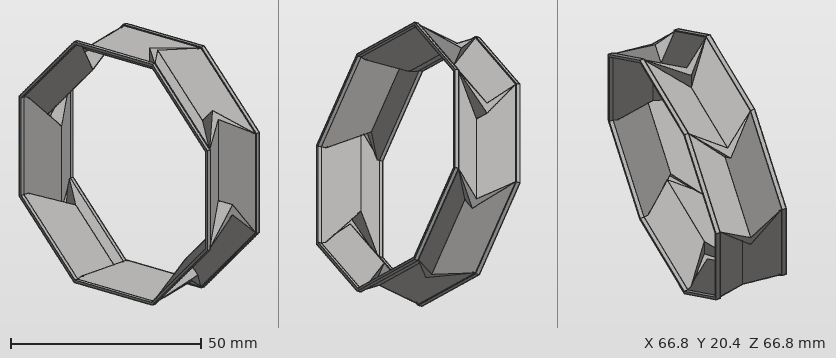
import cadquery as cq
import math

SIDES = 8
ACROSS_FLATS = 66.8
BAND_WIDTH = 20.4
RIM_WIDTH = 1.2
RIM_STEP = 0.3
WALL = 0.435

GROOVE_DEPTH = 5.1
GROOVE_SLANT = 10.0
OVERSHOOT = 0.7

SIDE_ANGLE = 360.0 / SIDES
BODY_APOTHEM = ACROSS_FLATS / 2 - RIM_STEP
CAVITY_APOTHEM = BODY_APOTHEM - WALL
CORNER_X = BODY_APOTHEM * math.tan(math.radians(SIDE_ANGLE / 2))
GROOVE_HALF_WIDTH = BAND_WIDTH / 2 - RIM_WIDTH

VALLEY_OFFSET = WALL * math.hypot(GROOVE_HALF_WIDTH, GROOVE_DEPTH) / GROOVE_HALF_WIDTH
END_OFFSET = WALL * math.hypot(GROOVE_HALF_WIDTH, GROOVE_SLANT) / GROOVE_HALF_WIDTH


def octagon_prism(apothem, width, y_center=0.0):
    """Octagonal prism along Y with flats facing X and Z."""
    circumradius = apothem / math.cos(math.radians(SIDE_ANGLE / 2))
    return (
        cq.Workplane("XZ", origin=(0, y_center + width / 2, 0))
        .transformed(rotate=(0, 0, SIDE_ANGLE / 2))
        .polygon(SIDES, 2 * circumradius)
        .extrude(width)
    )


def chevron_wedge(depth, end_offset):
    """V wedge under the +Z side, with both ends slanted to the same chevron."""
    half_width = GROOVE_HALF_WIDTH * depth / GROOVE_DEPTH
    slant = GROOVE_SLANT * depth / GROOVE_DEPTH
    right_valley_x = CORNER_X - GROOVE_SLANT + end_offset
    left_valley_x = -CORNER_X - GROOVE_SLANT
    length = right_valley_x - left_valley_x + slant
    top_z = BODY_APOTHEM + OVERSHOOT
    v_prism = (
        cq.Workplane("YZ", origin=(left_valley_x, 0, 0))
        .polyline([
            (-half_width, top_z),
            (-half_width, BODY_APOTHEM),
            (0, BODY_APOTHEM - depth),
            (half_width, BODY_APOTHEM),
            (half_width, top_z),
        ])
        .close()
        .extrude(length)
    )
    chevron = (
        cq.Workplane("XY", origin=(0, 0, BODY_APOTHEM - depth))
        .polyline([
            (left_valley_x, 0),
            (left_valley_x + slant, half_width),
            (right_valley_x + slant, half_width),
            (right_valley_x, 0),
            (right_valley_x + slant, -half_width),
            (left_valley_x + slant, -half_width),
        ])
        .close()
        .extrude(depth + OVERSHOOT)
    )
    return v_prism.intersect(chevron)


def cut_on_every_side(body, cutter):
    """Cut the +Z side's cutter out of all the sides."""
    for side in range(SIDES):
        body = body.cut(cutter.rotate((0, 0, 0), (0, 1, 0), side * SIDE_ANGLE))
    return body


outside = octagon_prism(BODY_APOTHEM, BAND_WIDTH)
rim_y = (BAND_WIDTH - RIM_WIDTH) / 2
for y_center in (-rim_y, rim_y):
    outside = outside.union(octagon_prism(ACROSS_FLATS / 2, RIM_WIDTH, y_center))
outside = cut_on_every_side(outside, chevron_wedge(GROOVE_DEPTH, 0.0))

cavity = octagon_prism(CAVITY_APOTHEM, BAND_WIDTH)
cavity = cut_on_every_side(cavity, chevron_wedge(GROOVE_DEPTH + VALLEY_OFFSET, END_OFFSET))

result = outside.cut(cavity)